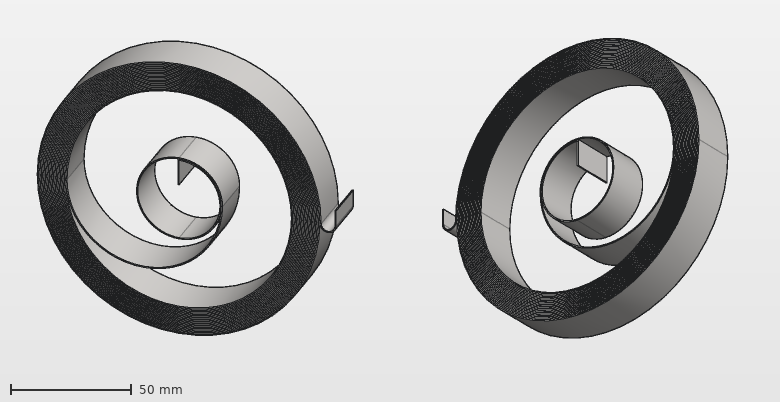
import cadquery as cq
import math


strip_width = 20.0
overall_length = 132.2
band_outer_radius = 62.8
band_inner_radius = 49.6
band_layers = 22
core_inner_radius = 18.0
tab_end_height = 6.6
hook_tip_height = 7.1
turn_clearance = 0.01

pitch = (band_outer_radius - band_inner_radius) / band_layers
thickness = pitch - turn_clearance
core_radius = core_inner_radius + pitch

hook_right = overall_length - band_outer_radius
hook_inner_radius = (hook_right - thickness - band_outer_radius) / 2
hook_center_x = band_outer_radius + hook_inner_radius

RIGHT, TOP, LEFT, BOTTOM = 0, 90, 180, -90


def clockwise_bend(center_x, center_z, radius, start, sweep):
    """A bend around the spring, given by the radius of the strip's outer face."""
    return center_x, center_z, radius, radius - thickness, start, -sweep


def core_bends():
    """One and a quarter turns around the core, the first turn stepping out by one pitch."""
    return [
        clockwise_bend(0, 0, core_radius, TOP, 180),
        clockwise_bend(0, pitch / 2, core_radius + pitch / 2, BOTTOM, 180),
        clockwise_bend(0, 0, core_radius + pitch, TOP, 90),
    ]


def transition_bend():
    """A half turn from the right of the core to the left of the innermost band layer."""
    right_x = core_radius + pitch
    left_x = -(band_inner_radius + pitch)
    return clockwise_bend((right_x + left_x) / 2, 0, (right_x - left_x) / 2, RIGHT, 180)


def band_bends():
    """Upper half turns joined by lower half turns that step out by one pitch."""
    bends = []
    for layer in range(1, band_layers + 1):
        radius = band_inner_radius + layer * pitch
        bends.append(clockwise_bend(0, 0, radius, LEFT, 180))
        if layer < band_layers:
            lower_radius = radius + pitch / 2
            bends.append(clockwise_bend(-pitch / 2, 0, lower_radius, RIGHT, 180))
    return bends


def hook_bend():
    """A half turn the other way, so the strip's outer face is on the inside of the bend."""
    return hook_center_x, 0, hook_inner_radius, hook_inner_radius + thickness, LEFT, 180


def polar_point(center_x, center_z, radius, angle):
    angle = math.radians(angle)
    return center_x + radius * math.cos(angle), center_z + radius * math.sin(angle)


def draw_arc(outline, center_x, center_z, radius, start, sweep):
    middle = polar_point(center_x, center_z, radius, start + sweep / 2)
    end = polar_point(center_x, center_z, radius, start + sweep)
    return outline.threePointArc(middle, end)


def strip_outline(bends):
    """Closed edge of the strip: out along its inner face and back along its outer face."""
    outline = cq.Workplane("XZ").moveTo(0, tab_end_height).lineTo(0, core_radius - thickness)
    for center_x, center_z, _, inner_face, start, sweep in bends:
        outline = draw_arc(outline, center_x, center_z, inner_face, start, sweep)

    outline = outline.lineTo(hook_right, hook_tip_height)
    outline = outline.lineTo(hook_right - thickness, hook_tip_height)
    outline = outline.lineTo(hook_right - thickness, 0)

    for center_x, center_z, outer_face, _, start, sweep in reversed(bends):
        outline = draw_arc(outline, center_x, center_z, outer_face, start + sweep, -sweep)

    outline = outline.lineTo(-thickness, core_radius)
    return outline.lineTo(-thickness, tab_end_height).close()


all_bends = core_bends() + [transition_bend()] + band_bends() + [hook_bend()]
result = strip_outline(all_bends).extrude(strip_width / 2, both=True)